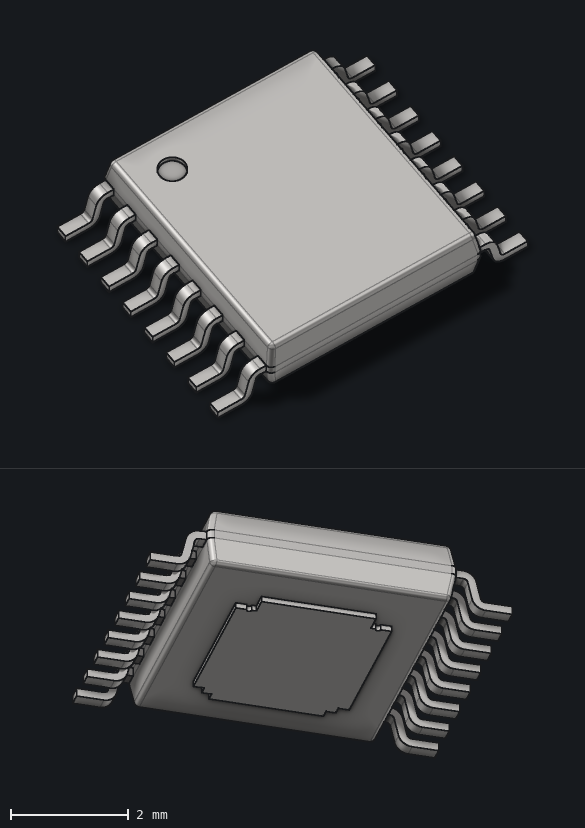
import cadquery as cq
import math

body_length_x = 5.0
body_width_y = 4.4
overall_height = 1.2
body_bottom_z = 0.1
body_draft = 10.0
body_corner_radius = 0.1
top_edge_radius = 0.1
bottom_edge_radius = 0.095

leads_per_row = 8
lead_row_length = 4.55
lead_width = 0.25
lead_thickness = 0.16
lead_top_z = 0.73
lead_span_y = 6.4
lead_shoulder_y = 2.52
lead_foot_y = 2.655
lead_inner_radius = 0.08
lead_root_depth = 0.255

dimple_x = -1.645
dimple_y = -1.345
dimple_radius = 0.255
dimple_depth = 0.1

pad_core_length_x = 3.25
pad_core_width_y = 2.02
pad_flange_length_x = 2.625
pad_flange_width_y = 2.75
pad_shoulder_end_x = 1.465
pad_shoulder_width_y = 2.37
pad_notch_y = 1.14
pad_notch_radius = 0.045
pad_embed = 0.065

band_bottom_z = lead_top_z - lead_thickness
lead_pitch = lead_row_length / (leads_per_row - 1)


def body_half(parting_z, height):
    """Drafted half of the body, narrowing away from parting_z; negative height goes down."""
    return (
        cq.Workplane("XY", origin=(0, 0, parting_z))
        .rect(body_length_x, body_width_y)
        .extrude(height, taper=body_draft)
    )


def make_body():
    band = (
        cq.Workplane("XY", origin=(0, 0, band_bottom_z))
        .rect(body_length_x, body_width_y)
        .extrude(lead_thickness)
        .edges("|Z")
        .fillet(body_corner_radius)
    )
    upper = (
        body_half(lead_top_z, overall_height - lead_top_z)
        .edges("not #Z")
        .fillet(body_corner_radius)
        .faces(">Z")
        .edges()
        .fillet(top_edge_radius)
    )
    lower = (
        body_half(band_bottom_z, body_bottom_z - band_bottom_z)
        .edges("not #Z")
        .fillet(body_corner_radius)
        .faces("<Z")
        .edges()
        .fillet(bottom_edge_radius)
    )
    return band.union(upper).union(lower)


def make_lead():
    """One lead on the +Y side, centred on X = 0."""
    slope_drop = lead_top_z - lead_thickness
    bend_angle = math.atan2(slope_drop, lead_foot_y - lead_shoulder_y)
    corner_shift = lead_thickness * math.tan(bend_angle / 2)
    root_y = body_width_y / 2 - lead_root_depth
    tip_y = lead_span_y / 2
    outer_radius = lead_inner_radius + lead_thickness

    shoulder_outer = (lead_shoulder_y, lead_top_z)
    foot_inner = (lead_foot_y, lead_thickness)
    foot_outer = (lead_foot_y - corner_shift, 0)
    shoulder_inner = (lead_shoulder_y - corner_shift, band_bottom_z)
    profile = [
        (root_y, lead_top_z),
        shoulder_outer,
        foot_inner,
        (tip_y, lead_thickness),
        (tip_y, 0),
        foot_outer,
        shoulder_inner,
        (root_y, band_bottom_z),
    ]
    lead = cq.Workplane("YZ").polyline(profile).close().extrude(lead_width / 2, both=True)
    bends = [
        (shoulder_outer, outer_radius),
        (foot_outer, outer_radius),
        (shoulder_inner, lead_inner_radius),
        (foot_inner, lead_inner_radius),
    ]
    for (y, z), radius in bends:
        lead = lead.edges(cq.selectors.NearestToPointSelector((0, y, z))).fillet(radius)
    return lead


def make_pad():
    """Flanged pad with a wider shoulder on +X and two round notches in the -X flange edge."""
    height = body_bottom_z + pad_embed
    sketch_plane = cq.Workplane("XY")
    core = sketch_plane.rect(pad_core_length_x, pad_core_width_y).extrude(height)
    flange = sketch_plane.rect(pad_flange_length_x, pad_flange_width_y).extrude(height)
    shoulder = (
        sketch_plane.center(pad_shoulder_end_x / 2, 0)
        .rect(pad_shoulder_end_x, pad_shoulder_width_y)
        .extrude(height)
    )
    notches = (
        sketch_plane.pushPoints([(-pad_flange_length_x / 2, side * pad_notch_y) for side in (-1, 1)])
        .circle(pad_notch_radius)
        .extrude(body_bottom_z)
    )
    return core.union(flange).union(shoulder).cut(notches)


def make_dimple():
    return (
        cq.Workplane("XY", origin=(dimple_x, dimple_y, overall_height - dimple_depth))
        .circle(dimple_radius)
        .extrude(dimple_depth)
    )


result = make_body().cut(make_dimple()).union(make_pad())

back_lead = make_lead()
front_lead = back_lead.mirror("XZ")
for index in range(leads_per_row):
    lead_x = index * lead_pitch - lead_row_length / 2
    for lead in (back_lead, front_lead):
        result = result.union(lead.translate((lead_x, 0, 0)))